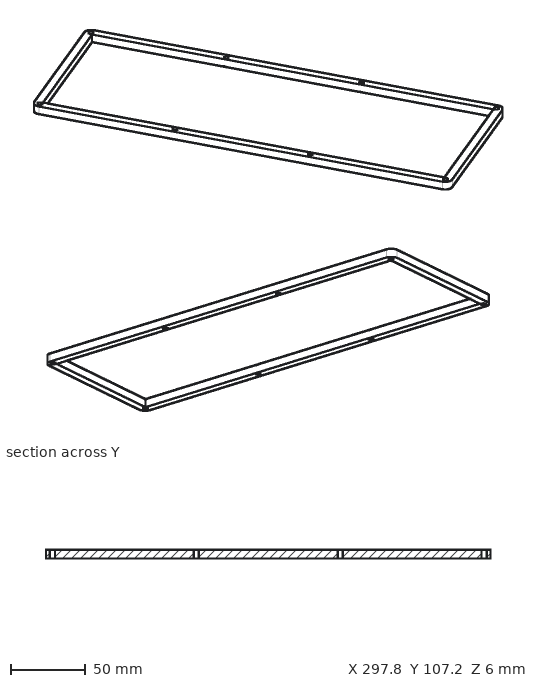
import cadquery as cq

length = 297.8
width = 107.2
height = 6.0
corner_radius = 5.0

rail_width = 6.0

hole_diameter = 3.3
hole_inset_x = 4.5
hole_inset_y = 4.0
holes_per_side = 4
hole_pitch_x = (length - 2 * hole_inset_x) / (holes_per_side - 1)
hole_pitch_y = width - 2 * hole_inset_y

frame = cq.Workplane("XY").box(length, width, height, centered=(True, True, False))
frame = frame.edges("|Z").fillet(corner_radius)

opening = cq.Workplane("XY").box(
    length - 2 * rail_width,
    width - 2 * rail_width,
    height,
    centered=(True, True, False),
)

screw_holes = (
    cq.Workplane("XY")
    .rarray(hole_pitch_x, hole_pitch_y, holes_per_side, 2)
    .circle(hole_diameter / 2)
    .extrude(height)
)

result = frame.cut(opening).cut(screw_holes)